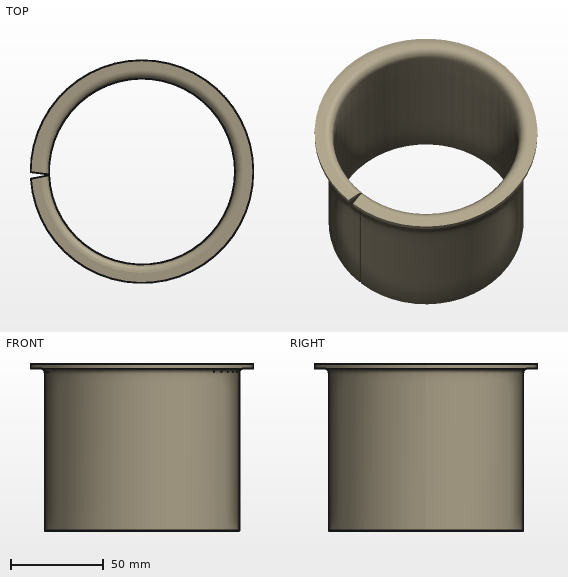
import cadquery as cq

flange_radius = 60.0
height = 90.0
bore_diameter = 100.0
wall = 2.5
outer_bend_radius = 2.0
bottom_chamfer = 0.5

split_angle = 2.0
split_width_at_bore = 0.2
split_width_at_rim = 3.5

bore_radius = bore_diameter / 2
tube_radius = bore_radius + wall
inner_bend_radius = outer_bend_radius + wall
flange_bottom = height - wall


def make_sleeve():
    """Revolve the L-shaped wall section around Z."""
    section = (
        cq.Workplane("XZ")
        .moveTo(bore_radius, 0)
        .lineTo(tube_radius - bottom_chamfer, 0)
        .lineTo(tube_radius, bottom_chamfer)
        .lineTo(tube_radius, flange_bottom - outer_bend_radius)
        .radiusArc((tube_radius + outer_bend_radius, flange_bottom), outer_bend_radius)
        .lineTo(flange_radius, flange_bottom)
        .lineTo(flange_radius, height)
        .lineTo(bore_radius + inner_bend_radius, height)
        .radiusArc((bore_radius, height - inner_bend_radius), -inner_bend_radius)
        .close()
    )
    return section.revolve(360, (0, 0, 0), (0, 1, 0))


def make_split():
    """Wedge through the full height, its sides straight from inside the bore to beyond the rim."""
    side_slope = (split_width_at_rim - split_width_at_bore) / 2 / (flange_radius - bore_radius)
    overrun = split_width_at_bore / 2
    inner_x = bore_radius - overrun
    outer_x = flange_radius + overrun
    inner_half = split_width_at_bore / 2 - side_slope * overrun
    outer_half = split_width_at_rim / 2 + side_slope * overrun
    wedge = (
        cq.Workplane("XY")
        .polyline([
            (-inner_x, inner_half),
            (-outer_x, outer_half),
            (-outer_x, -outer_half),
            (-inner_x, -inner_half),
        ])
        .close()
        .extrude(height)
    )
    return wedge.rotate((0, 0, 0), (0, 0, 1), split_angle)


result = make_sleeve().cut(make_split())